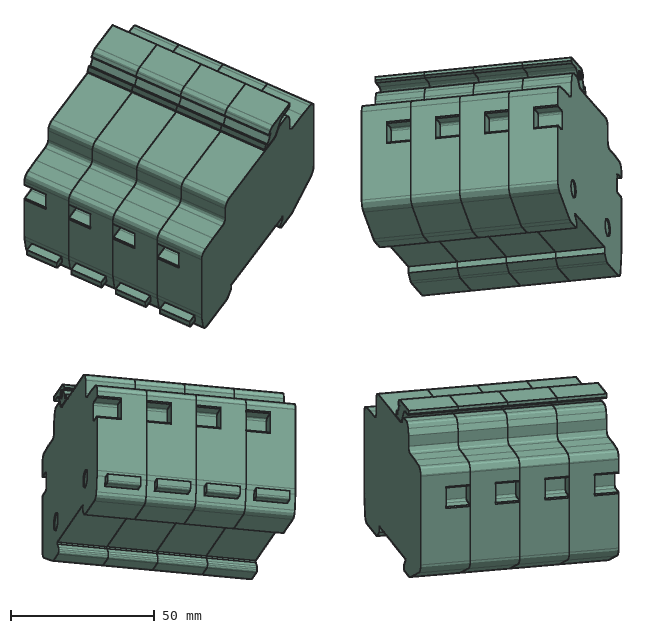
import cadquery as cq
import math

module_count = 4
total_width = 71.2
module_width = total_width / module_count

depth = 78.0
front_shoulder_height = 42.95
back_shoulder_height = 45.8
deck_height = 53.0
ridge_height = 56.1
deck_front = 16.6
ridge_back = 61.4

shoulder_slope_length = 8.0
shoulder_drop = 0.6
shoulder_round = 2.9
shoulder_inner_round = 2.2
deck_round = 2.9

ridge_kink_height = 51.9
ridge_shoulder_y = 60.1
ridge_front_edge = 54.0
ridge_foot = 51.3
ridge_back_round = 2.6
ridge_front_round = 2.1
ridge_foot_round = 2.8

rail_roof = 4.8
rail_front = 20.7
rail_back = 56.6
rail_front_lip = (rail_front, 2.5)
rail_front_toe = 17.8
rail_toe_round = 1.8
hook_root_height = 4.1
hook_nose = (54.8, 1.95)
hook_nose_round = 1.3
hook_toe_round = 0.8

ramp_start = 62.7
ramp_end_height = 7.3
ramp_start_round = 4.9
ramp_end_round = 4.1

lean_start_height = 10.0
lean_break = (0.2, 8.0)
front_foot = 1.5
front_foot_round = 2.85

window_width = 8.7
window_floor = 30.3
window_roof = 37.3
window_depth = 5.4
window_corner_round = 0.9
window_mouth_flare = 0.5
window_mouth_depth = 0.3

recess_diameter = 6.2
recess_depth = 0.4
recess_height = 13.3
recess_positions = (17.0, 58.8)

tab_width = 11.9
total_depth = 81.2
tab_reach = total_depth - depth
tab_bottom = 4.5
tab_top = 7.6
tab_root = 1.6
tab_edge_round = 0.9

lever_top = 61.0
lever_plate_bottom = 59.0
lever_clearance = 0.3
lever_bottom = deck_height + lever_clearance
lever_plate_chamfer_depth = 0.9
lever_plate_chamfer_height = 0.7
lever_nose_top = 48.5
lever_nose_round = 2.6
lever_nose = 46.8
lever_nose_heights = (58.9, 58.5)
lever_notch = (48.1, 58.4)
lever_lip_root = (45.8, 54.5)
lever_lip_height = 55.6
lever_lip_crest = (45.3, 44.8)
lever_toe = 43.85
lever_toe_height = 0.5
lever_heel = 51.2
lever_heel_round = 1.95
lever_neck = 55.4
lever_neck_round = 2.35
lever_recess_diameter = 3.2
lever_recess_center = (50.9, 58.0)


def unit_direction(start, end):
    length = math.dist(start, end)
    return ((end[0] - start[0]) / length, (end[1] - start[1]) / length)


def corner_arc(before, corner, after, radius):
    """Start, middle and end of the arc that rounds a corner."""
    to_before = unit_direction(corner, before)
    to_after = unit_direction(corner, after)
    cosine = to_before[0] * to_after[0] + to_before[1] * to_after[1]
    half_angle = math.acos(cosine) / 2
    setback = radius / math.tan(half_angle)
    middle_distance = radius / math.sin(half_angle) - radius
    to_middle = unit_direction((0, 0), (to_before[0] + to_after[0], to_before[1] + to_after[1]))

    def offset(direction, distance):
        return (corner[0] + direction[0] * distance, corner[1] + direction[1] * distance)

    return offset(to_before, setback), offset(to_middle, middle_distance), offset(to_after, setback)


def rounded_prism(corners, width):
    """Extrude a closed (y, z, corner radius) outline along +X from X = 0; radius 0 keeps a sharp corner."""
    points = [(y, z) for y, z, _ in corners]
    outline = cq.Workplane("YZ")
    for index, (y, z, radius) in enumerate(corners):
        if radius > 0:
            following = points[(index + 1) % len(points)]
            start, middle, end = corner_arc(points[index - 1], (y, z), following, radius)
        else:
            start = (y, z)
        outline = outline.moveTo(*start) if index == 0 else outline.lineTo(*start)
        if radius > 0:
            outline = outline.threePointArc(middle, end)
    return outline.close().extrude(width)


def side_recess(center, diameter):
    """Shallow disc to be cut into the face at X = 0."""
    return cq.Workplane("YZ").center(*center).circle(diameter / 2).extrude(recess_depth)


def housing_block():
    return rounded_prism(
        [
            (front_foot, 0, front_foot_round),
            (*lean_break, 0),
            (0, lean_start_height, 0),
            (0, front_shoulder_height - shoulder_drop, shoulder_round),
            (shoulder_slope_length, front_shoulder_height, 0),
            (deck_front, front_shoulder_height, shoulder_inner_round),
            (deck_front, deck_height, deck_round),
            (ridge_foot, deck_height, ridge_foot_round),
            (ridge_front_edge, ridge_height, ridge_front_round),
            (ridge_shoulder_y, ridge_height, ridge_back_round),
            (ridge_back, ridge_kink_height, 0),
            (ridge_back, back_shoulder_height, shoulder_inner_round),
            (depth - shoulder_slope_length, back_shoulder_height, 0),
            (depth, back_shoulder_height - shoulder_drop, shoulder_round),
            (depth, ramp_end_height, ramp_end_round),
            (ramp_start, 0, ramp_start_round),
            (hook_nose[0], 0, hook_toe_round),
            (*hook_nose, hook_nose_round),
            (rail_back, hook_root_height, 0),
            (rail_back, rail_roof, 0),
            (rail_front, rail_roof, 0),
            (*rail_front_lip, 0),
            (rail_front_toe, 0, rail_toe_round),
        ],
        module_width,
    )


def terminal_window():
    """Pocket for the front wall, flared at its sill and lintel."""
    return rounded_prism(
        [
            (0, window_floor - window_mouth_flare, 0),
            (0, window_roof + window_mouth_flare, 0),
            (window_mouth_depth, window_roof, 0),
            (window_depth, window_roof, window_corner_round),
            (window_depth, window_floor, window_corner_round),
            (window_mouth_depth, window_floor, 0),
        ],
        window_width,
    )


def release_tab():
    tab = rounded_prism(
        [
            (tab_root, tab_bottom, 0),
            (-tab_reach, tab_bottom, tab_edge_round),
            (-tab_reach, tab_top, 0),
            (tab_root, tab_top, 0),
        ],
        tab_width,
    )
    return tab.translate(((module_width - tab_width) / 2, 0, 0))


def make_housing():
    front_window = terminal_window()
    back_window = front_window.mirror("XZ").translate((0, depth, 0))
    housing = housing_block().union(release_tab()).cut(front_window).cut(back_window)
    for y in recess_positions:
        housing = housing.cut(side_recess((y, recess_height), recess_diameter))
    return housing


def make_lever():
    lever = rounded_prism(
        [
            (ridge_back, lever_top, 0),
            (lever_nose_top, lever_top, lever_nose_round),
            (lever_nose, lever_nose_heights[0], 0),
            (lever_nose, lever_nose_heights[1], 0),
            (*lever_notch, 0),
            (*lever_lip_root, 0),
            (lever_lip_crest[0], lever_lip_height, 0),
            (lever_lip_crest[1], lever_lip_height, 0),
            (lever_toe, lever_bottom + lever_toe_height, 0),
            (lever_toe, lever_bottom, 0),
            (lever_heel, lever_bottom, lever_heel_round),
            (lever_neck, lever_plate_bottom, lever_neck_round),
            (ridge_back - lever_plate_chamfer_depth, lever_plate_bottom, 0),
            (ridge_back, lever_plate_bottom + lever_plate_chamfer_height, 0),
        ],
        module_width,
    )
    return lever.cut(side_recess(lever_recess_center, lever_recess_diameter))


housing = make_housing()
lever = make_lever()
bodies = []
for index in range(module_count):
    shift = (index * module_width, 0, 0)
    bodies.append(housing.translate(shift).val())
    bodies.append(lever.translate(shift).val())

result = cq.Compound.makeCompound(bodies)